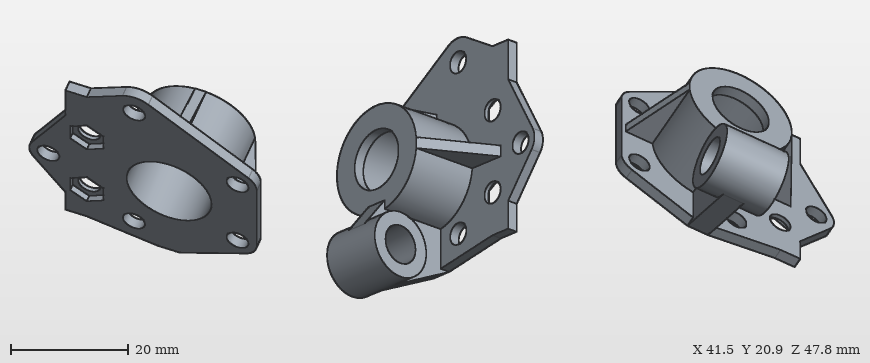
import cadquery as cq
import math

plate_thickness = 2.0
boss_depth = 15.0
boss_radius = 10.0
bore_radius = 7.75
shaft_hole_radius = 5.5
lip_thickness = plate_thickness

screw_hole_radius = 2.0
small_corner_radius = 3.5
top_corner_radius = 4.5
side_hole_x = 12.45
side_hole_z = 8.15
left_hole_x = -22.05
upper_hole = (-6.35, 19.75)
lower_hole = (-6.4, -12.0)
nut_x = -15.0
nut_heights = (side_hole_z, -7.03)
nut_corner_diameter = 7.0
nut_pocket_depth = 1.2

tab_x = -18.92
tab_top_z = 20.02
tab_top_inner_z = 12.65
tab_bottom_inner_z = -9.8
tab_bottom_z = -14.95
plate_bottom_z = -17.1

rib_thickness = 2.0
left_rib_reach = 17.05
right_rib_reach = 15.15
top_rib_reach = 11.7

lug_radius = 5.95
lug_hole_radius = 3.5
lug_length = 12.0
lug_y = boss_depth
lug_z = -17.6
web_thickness = 4.0
web_top_z = -8.15


def tangent_point(point, center, radius, side):
    """Touch point on a circle of the tangent from a point; side is +1 counterclockwise, -1 clockwise."""
    dx = point[0] - center[0]
    dy = point[1] - center[1]
    angle = math.atan2(dy, dx) + side * math.acos(radius / math.hypot(dx, dy))
    return (center[0] + radius * math.cos(angle), center[1] + radius * math.sin(angle))


def common_tangent(center_a, radius_a, center_b, radius_b):
    """Touch points of the outer tangent lying to the left of the direction from circle a to circle b."""
    dx = center_b[0] - center_a[0]
    dy = center_b[1] - center_a[1]
    angle = math.atan2(dy, dx) + math.acos((radius_a - radius_b) / math.hypot(dx, dy))
    normal = (math.cos(angle), math.sin(angle))
    touch_a = (center_a[0] + radius_a * normal[0], center_a[1] + radius_a * normal[1])
    touch_b = (center_b[0] + radius_b * normal[0], center_b[1] + radius_b * normal[1])
    return touch_a, touch_b


def arc_middle(start, end, center, radius):
    """Middle of the short arc between two points of a circle."""
    dx = (start[0] + end[0]) / 2 - center[0]
    dy = (start[1] + end[1]) / 2 - center[1]
    stretch = radius / math.hypot(dx, dy)
    return (center[0] + dx * stretch, center[1] + dy * stretch)


def along_y(start_y):
    """Workplane with X and Z as its axes, extruding toward +Y."""
    return cq.Workplane("XZ", origin=(0, start_y, 0))


def cylinder_y(center, radius, start_y, end_y):
    return along_y(start_y).center(*center).circle(radius).extrude(start_y - end_y)


def make_plate():
    left_center = (left_hole_x, 0)
    right_top_center = (side_hole_x, side_hole_z)
    right_bottom_center = (side_hole_x, -side_hole_z)
    right_edge_x = side_hole_x + small_corner_radius
    tab_top_corner = (nut_x, tab_top_z)
    tab_upper_notch = (tab_x, tab_top_inner_z)
    tab_lower_notch = (tab_x, tab_bottom_inner_z)
    bottom_right = (web_thickness / 2, plate_bottom_z)

    top_start = tangent_point(tab_top_corner, upper_hole, top_corner_radius, -1)
    top_end, right_top_start = common_tangent(
        upper_hole, top_corner_radius, right_top_center, small_corner_radius
    )
    right_top_end = (right_edge_x, side_hole_z)
    right_bottom_start = (right_edge_x, -side_hole_z)
    right_bottom_end = tangent_point(bottom_right, right_bottom_center, small_corner_radius, 1)
    left_start = tangent_point(tab_lower_notch, left_center, small_corner_radius, -1)
    left_end = tangent_point(tab_upper_notch, left_center, small_corner_radius, 1)

    def corner(sketch, start, end, center, radius):
        return sketch.lineTo(*start).threePointArc(arc_middle(start, end, center, radius), end)

    outline = along_y(0).moveTo(tab_x, tab_top_z).lineTo(*tab_top_corner)
    outline = corner(outline, top_start, top_end, upper_hole, top_corner_radius)
    outline = corner(outline, right_top_start, right_top_end, right_top_center, small_corner_radius)
    outline = corner(
        outline, right_bottom_start, right_bottom_end, right_bottom_center, small_corner_radius
    )
    outline = outline.lineTo(*bottom_right).lineTo(-web_thickness / 2, plate_bottom_z)
    outline = outline.lineTo(nut_x, tab_bottom_z).lineTo(tab_x, tab_bottom_z).lineTo(*tab_lower_notch)
    outline = corner(outline, left_start, left_end, left_center, small_corner_radius)
    return outline.lineTo(*tab_upper_notch).close().extrude(-plate_thickness)


def make_rib(reach, angle):
    """Tapered rib in the direction given by an angle from +X toward +Z."""
    profile = [(0, 0), (reach, 0), (reach, plate_thickness), (boss_radius, boss_depth), (0, boss_depth)]
    rib = cq.Workplane("XY").polyline(profile).close().extrude(rib_thickness / 2, both=True)
    return rib.rotate((0, 0, 0), (0, 1, 0), -angle)


def make_lug():
    """Hinge barrel along X and the web whose edges run tangent to it."""
    center = (lug_y, lug_z)
    boss_end = (boss_depth, web_top_z)
    plate_corner = (0, plate_bottom_z)
    web_outline = [
        plate_corner,
        (0, web_top_z),
        boss_end,
        tangent_point(boss_end, center, lug_radius, -1),
        center,
        tangent_point(plate_corner, center, lug_radius, 1),
    ]
    web = cq.Workplane("YZ").polyline(web_outline).close().extrude(web_thickness / 2, both=True)
    barrel = cq.Workplane("YZ").center(*center).circle(lug_radius).extrude(lug_length / 2, both=True)
    return web.union(barrel)


def make_lug_hole():
    return cq.Workplane("YZ").center(lug_y, lug_z).circle(lug_hole_radius).extrude(lug_length / 2, both=True)


def make_nut_pocket(height):
    """Hexagonal recess with two corners pointing up and down."""
    sketch = along_y(0).center(nut_x, height)
    sketch = sketch.transformed(rotate=(0, 0, 90))
    return sketch.polygon(6, nut_corner_diameter).extrude(-nut_pocket_depth)


result = make_plate()
result = result.union(cylinder_y((0, 0), boss_radius, 0, boss_depth))
for reach, angle in ((right_rib_reach, 0), (top_rib_reach, 90), (left_rib_reach, 180)):
    result = result.union(make_rib(reach, angle))
result = result.union(make_lug())

result = result.cut(cylinder_y((0, 0), bore_radius, 0, boss_depth - lip_thickness))
result = result.cut(cylinder_y((0, 0), shaft_hole_radius, 0, boss_depth))

screw_holes = [
    upper_hole,
    lower_hole,
    (left_hole_x, 0),
    (side_hole_x, side_hole_z),
    (side_hole_x, -side_hole_z),
]
for nut_height in nut_heights:
    screw_holes.append((nut_x, nut_height))
    result = result.cut(make_nut_pocket(nut_height))
for position in screw_holes:
    result = result.cut(cylinder_y(position, screw_hole_radius, 0, plate_thickness))

result = result.cut(make_lug_hole())